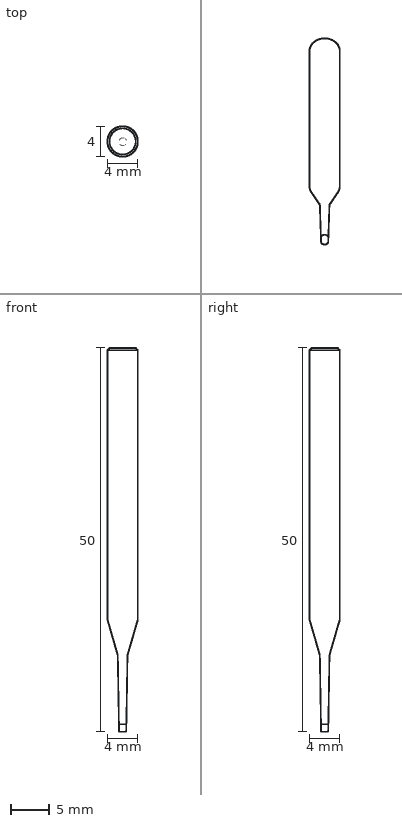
import cadquery as cq

total_length = 50.0
tip_length = 1.0
neck_end = 10.0
shank_start = 14.65

shank_diameter = 4.0
neck_top_diameter = 1.3
tip_diameter = 1.0

tip_corner_radius = 0.2
shank_chamfer = 0.3


def make_cutting_tip():
    """Short cylinder with a rounded lower edge."""
    tip = cq.Workplane("XY").circle(tip_diameter / 2).extrude(tip_length)
    return tip.faces("<Z").edges().fillet(tip_corner_radius)


def make_shank():
    """Revolved tapered neck, cone and chamfered cylindrical shank."""
    shank_radius = shank_diameter / 2
    half_profile = (
        cq.Workplane("XZ")
        .moveTo(0, tip_length)
        .lineTo(tip_diameter / 2, tip_length)
        .lineTo(neck_top_diameter / 2, neck_end)
        .lineTo(shank_radius, shank_start)
        .lineTo(shank_radius, total_length - shank_chamfer)
        .lineTo(shank_radius - shank_chamfer, total_length)
        .lineTo(0, total_length)
        .close()
    )
    return half_profile.revolve(360, (0, 0, 0), (0, 1, 0))


cutting_tip = make_cutting_tip()
shank = make_shank()

result = cq.Compound.makeCompound([cutting_tip.val(), shank.val()])